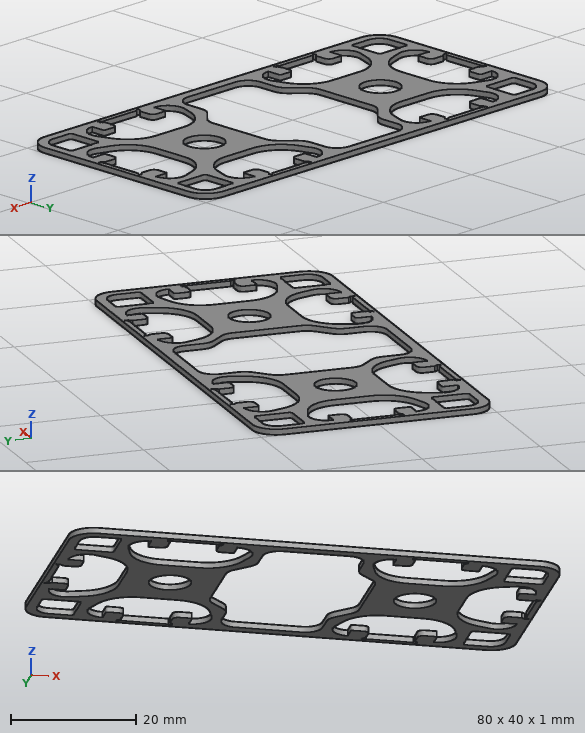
import cadquery as cq
import math

length = 80.0
width = 40.0
thickness = 1.0
corner_radius = 4.0
cell = width / 2

bore_diameter = 6.8

wall = 1.8
window_size = 6.4
window_outer_radius = 2.4
window_inner_radius = 0.5

skin = 1.0
mouth_half = 4.0
notch_half = 4.5
notch_top_depth = 0.5
notch_bottom_depth = 1.1
notch_end_depth = 1.7
notch_start_half = 3.8
hook_half = 7.0
hook_depth = 4.5
hook_inner_radius = 1.0
hook_outer_radius = 0.3
lobe_half = 10.1
lobe_depth = 1.8
lobe_radius = 3.0
flank_tilt = 19.0
floor_radius = 6.4
floor_depth = 12.2

neck_half_x = 8.2
waist_half_x = 12.2
rim = 1.9
opening_half_y = width / 2 - rim
neck_shoulder_y = 11.0
opening_corner_radius = 2.8
shoulder_radius = 3.0

quarter_turn = math.pi / 2
diagonal = math.sqrt(0.5)


def slot_pocket():
    """Pocket behind a slot mouth whose outer face lies on the X axis, opening toward -Y."""
    lobe_x = lobe_half - lobe_radius
    lobe_y = -lobe_depth - lobe_radius
    flank_angle = math.radians(flank_tilt)
    floor_arc_y = -floor_depth + floor_radius
    floor_arc_x = (
        lobe_x
        - (floor_radius - lobe_radius) / math.cos(flank_angle)
        - (lobe_y - floor_arc_y) * math.tan(flank_angle)
    )
    floor_mid_angle = (-flank_angle - quarter_turn) / 2
    lobe_mid_angle = (-flank_angle + quarter_turn) / 2

    def on_lobe(angle):
        return lobe_x + lobe_radius * math.cos(angle), lobe_y + lobe_radius * math.sin(angle)

    def on_floor_arc(angle):
        return floor_arc_x + floor_radius * math.cos(angle), floor_arc_y + floor_radius * math.sin(angle)

    inner_bend = hook_inner_radius * (1 - diagonal)
    outer_bend = hook_outer_radius * (1 - diagonal)
    half = (
        cq.Workplane("XY")
        .moveTo(0, -skin)
        .lineTo(notch_start_half, -skin)
        .lineTo(notch_half, -notch_top_depth)
        .lineTo(notch_half, -notch_bottom_depth)
        .lineTo(mouth_half, -notch_end_depth)
        .lineTo(mouth_half, -hook_depth + hook_inner_radius)
        .threePointArc(
            (mouth_half + inner_bend, -hook_depth + inner_bend),
            (mouth_half + hook_inner_radius, -hook_depth),
        )
        .lineTo(hook_half - hook_outer_radius, -hook_depth)
        .threePointArc(
            (hook_half - outer_bend, -hook_depth + outer_bend),
            (hook_half, -hook_depth + hook_outer_radius),
        )
        .lineTo(hook_half, -lobe_depth)
        .lineTo(lobe_x, -lobe_depth)
        .threePointArc(on_lobe(lobe_mid_angle), on_lobe(-flank_angle))
        .lineTo(*on_floor_arc(-flank_angle))
        .threePointArc(on_floor_arc(floor_mid_angle), (floor_arc_x, -floor_depth))
        .lineTo(0, -floor_depth)
        .close()
        .extrude(thickness)
    )
    return half.union(half.mirror("YZ"))


def corner_window(side_x, side_y):
    """Square window in one corner, rounder where it follows the plate corner."""
    offset = wall + window_size / 2
    window = cq.Workplane("XY").rect(window_size, window_size).extrude(thickness)
    window = window.edges("|Z and >X and >Y").fillet(window_outer_radius)
    for corner in ("<X and >Y", ">X and <Y", "<X and <Y"):
        window = window.edges("|Z and " + corner).fillet(window_inner_radius)
    if side_x < 0:
        window = window.mirror("YZ")
    if side_y < 0:
        window = window.mirror("XZ")
    return window.translate((side_x * (length / 2 - offset), side_y * (width / 2 - offset), 0))


def central_opening():
    """Opening with a wide waist joined to narrower necks by 45 degree shoulders."""
    waist_shoulder_y = neck_shoulder_y - (waist_half_x - neck_half_x)
    quarter = [
        (neck_half_x, opening_half_y),
        (neck_half_x, neck_shoulder_y),
        (waist_half_x, waist_shoulder_y),
    ]
    right = quarter + [(x, -y) for x, y in reversed(quarter)]
    left = [(-x, -y) for x, y in right]
    opening = cq.Workplane("XY").polyline(right + left).close().extrude(thickness)
    opening = opening.edges("|Z and (>Y or <Y)").fillet(opening_corner_radius)
    reach_x = waist_half_x + rim
    reach_y = (neck_shoulder_y + opening_half_y) / 2
    shoulder_zone = cq.selectors.BoxSelector((-reach_x, -reach_y, 0), (reach_x, reach_y, thickness))
    return opening.edges("|Z").edges(shoulder_zone).fillet(shoulder_radius)


plate = cq.Workplane("XY").box(length, width, thickness, centered=(True, True, False))
plate = plate.edges("|Z").fillet(corner_radius)

bore_x = length / 2 - cell
bore_centres = [(-bore_x, 0), (bore_x, 0)]
bores = cq.Workplane("XY").pushPoints(bore_centres).circle(bore_diameter / 2).extrude(thickness)
plate = plate.cut(bores)
plate = plate.cut(central_opening())

pocket = slot_pocket().translate((0, cell, 0))
for side, end_angle in ((-1, 90), (1, -90)):
    for angle in (0, 180, end_angle):
        turned = pocket.rotate((0, 0, 0), (0, 0, 1), angle)
        plate = plate.cut(turned.translate((side * bore_x, 0, 0)))

for side_x in (-1, 1):
    for side_y in (-1, 1):
        plate = plate.cut(corner_window(side_x, side_y))

result = plate.translate((0, 0, -thickness / 2))